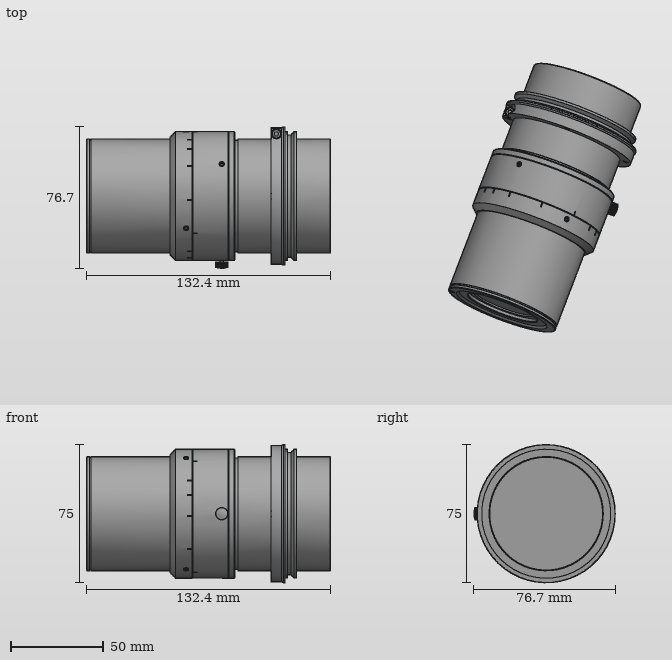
import cadquery as cq
import math

length = 132.4

barrel_radius = 31.0
barrel_chamfer = 0.4
front_groove_start = 1.7
front_groove_end = 2.5
front_groove_depth = 0.4

ring_start = 45.3
ring_cone_end = 48.3
ring_cone_radius = 31.9
ring_radius = 70.0 / 2
ring_end = 80.5
ring_chamfer = 0.5
ring_split = 57.5
ring_joint = 77.0
joint_width = 0.4
joint_depth = 0.3
neck_end = 82.1
neck_radius = 30.3

flange_start = 100.1
flange_end = 105.8
flange_radius = 37.1
rim_start = 106.7
rim_end = 107.6
rim_radius = 37.5
step_end = 109.0
mount_radius = 35.0
mount_groove_radius = 33.2
mount_groove_end = 110.8
mount_land_start = 112.5
mount_end = 113.9

recess_radius = 26.2
shelf_radius = 25.0
shelf_depth = 1.2
seat_radius = 40.6 / 2
seat_step_radius = 40.0 / 2
seat_step_depth = 1.7
seat_floor_depth = 3.3
lens_depth = 4.2
lens_radius = 34.0 / 2
lens_bulge = 0.4

axial_screw_diameter = 3.0
face_screw_circle = 28.7
flange_screw_circle = 34.0
radial_screw_diameter = 2.8
face_screw_recess = 0.1
face_socket_depth = 0.4
flange_screw_recess = 2.0
ring_screw_recess = 0.4
socket_diameter = 1.9
socket_depth = 1.3
front_ring_screw_x = 54.0
rear_ring_screw_x = 73.3

knob_base = 35.6
knob_side_end = 38.7
knob_tip = 39.2
knob_radius = 6.8 / 2
knob_tooth_depth = 0.2
knob_teeth = 36
knob_stem_diameter = 2.0
knob_stem_embed = 1.3

clamp_x = (flange_start + flange_end) / 2
clamp_y = 33.8
clamp_floor = 6.0
clamp_bore_radius = 5.4 / 2
clamp_head_diameter = 4.5
clamp_head_height = 2.5
clamp_socket_diameter = 2.5
slit_width = 1.2
clamp_cut_reach = 39.7

scale_repeat = 120
scale_angles = (31.0, 17.0, -2.0, -33.5)
index_angle = 54.7
tick_length = 2.8
tick_width = 0.5
index_length = 2.5
index_width = 0.3
tick_depth = 0.2


def cap_sphere_radius(base_radius, height):
    """Radius of the sphere whose cap has this base radius and height."""
    return (base_radius**2 + height**2) / (2 * height)


def turned_body():
    """Whole barrel as one revolved profile, in (x, radius) points."""
    groove_floor = barrel_radius - front_groove_depth
    joint_floor = ring_radius - joint_depth
    profile = (
        cq.Workplane("XY")
        .moveTo(lens_depth - lens_bulge, 0)
        .radiusArc((lens_depth, lens_radius), cap_sphere_radius(lens_radius, lens_bulge))
        .lineTo(seat_floor_depth, lens_radius)
        .lineTo(seat_floor_depth, seat_step_radius)
        .lineTo(seat_step_depth, seat_step_radius)
        .lineTo(seat_step_depth, seat_radius)
        .lineTo(shelf_depth, seat_radius)
        .lineTo(shelf_depth, shelf_radius)
        .lineTo(0, recess_radius)
        .lineTo(0, barrel_radius - barrel_chamfer)
        .lineTo(barrel_chamfer, barrel_radius)
        .lineTo(front_groove_start, barrel_radius)
        .lineTo(front_groove_start, groove_floor)
        .lineTo(front_groove_end, groove_floor)
        .lineTo(front_groove_end, barrel_radius)
        .lineTo(ring_start, barrel_radius)
        .lineTo(ring_start, ring_cone_radius)
        .lineTo(ring_cone_end, ring_radius)
    )
    for joint in (ring_split, ring_joint):
        profile = (
            profile.lineTo(joint - joint_width / 2, ring_radius)
            .lineTo(joint - joint_width / 2, joint_floor)
            .lineTo(joint + joint_width / 2, joint_floor)
            .lineTo(joint + joint_width / 2, ring_radius)
        )
    profile = (
        profile.lineTo(ring_end - ring_chamfer, ring_radius)
        .lineTo(ring_end, ring_radius - ring_chamfer)
        .lineTo(ring_end, neck_radius)
        .lineTo(neck_end, neck_radius)
        .lineTo(neck_end, barrel_radius)
        .lineTo(flange_start, barrel_radius)
        .lineTo(flange_start, flange_radius)
        .lineTo(flange_end, flange_radius)
        .lineTo(rim_start, rim_radius)
        .lineTo(rim_end, rim_radius)
        .lineTo(rim_end, mount_radius)
        .lineTo(step_end, mount_radius)
        .lineTo(step_end, mount_groove_radius)
        .lineTo(mount_groove_end, mount_groove_radius)
        .lineTo(mount_land_start, mount_radius)
        .lineTo(mount_end, mount_radius)
        .lineTo(mount_end, barrel_radius)
        .lineTo(length - barrel_chamfer, barrel_radius)
        .lineTo(length, barrel_radius - barrel_chamfer)
        .lineTo(length, 0)
        .close()
    )
    return profile.revolve(360, (0, 0, 0), (1, 0, 0))


def around_axis(shape, angle):
    """Turn a shape built on the -Y side about X, towards +Z."""
    return shape.rotate((0, 0, 0), (1, 0, 0), -angle)


def screw_recess_cutter(plane, diameter, recess_depth, hexagon_depth):
    """Recess over a flush screw with a hexagon socket in the middle."""
    recess = cq.Workplane(plane).circle(diameter / 2).extrude(recess_depth)
    socket = cq.Workplane(plane).polygon(6, socket_diameter).extrude(recess_depth + hexagon_depth)
    return recess.union(socket)


def axial_screws(face_x, circle_radius, recess_depth, hexagon_depth, angles):
    plane = cq.Plane(origin=(face_x, -circle_radius, 0), xDir=(0, 1, 0), normal=(1, 0, 0))
    cutter = screw_recess_cutter(plane, axial_screw_diameter, recess_depth, hexagon_depth)
    return [around_axis(cutter, angle) for angle in angles]


def radial_screws(x, angles):
    plane = cq.Plane(origin=(x, -ring_radius, 0), xDir=(1, 0, 0), normal=(0, 1, 0))
    cutter = screw_recess_cutter(plane, radial_screw_diameter, ring_screw_recess, socket_depth)
    return [around_axis(cutter, angle) for angle in angles]


def scale_mark(start_x, mark_length, mark_width, angle):
    mark = cq.Workplane("XY").box(mark_length, 2 * tick_depth, mark_width, centered=(False, True, True))
    return around_axis(mark.translate((start_x, -ring_radius, 0)), angle)


def scale_marks():
    marks = []
    for turn in range(0, 360, scale_repeat):
        for angle in scale_angles:
            marks.append(scale_mark(ring_split - tick_length, tick_length, tick_width, angle + turn))
        marks.append(scale_mark(ring_split, index_length, index_width, index_angle + turn))
    return marks


def thumb_screw():
    """Knurled knob with a domed end on a thin stem, pointing to -Y."""
    plane = cq.Plane(origin=(rear_ring_screw_x, 0, 0), xDir=(1, 0, 0), normal=(0, -1, 0))
    stem_start = ring_radius - knob_stem_embed
    stem = (
        cq.Workplane(plane)
        .workplane(offset=stem_start)
        .circle(knob_stem_diameter / 2)
        .extrude(knob_base - stem_start)
    )
    outline = []
    for step in range(2 * knob_teeth):
        radius = knob_radius - knob_tooth_depth * (step % 2)
        angle = math.pi * step / knob_teeth
        outline.append((radius * math.cos(angle), radius * math.sin(angle)))
    knurl = (
        cq.Workplane(plane)
        .workplane(offset=knob_base)
        .polyline(outline)
        .close()
        .extrude(knob_side_end - knob_base)
    )
    dome_height = knob_tip - knob_side_end
    dome_base = knob_radius - knob_tooth_depth
    sphere_radius = cap_sphere_radius(dome_base, dome_height)
    dome = (
        cq.Workplane(plane)
        .workplane(offset=knob_tip - sphere_radius)
        .sphere(sphere_radius)
        .intersect(
            cq.Workplane(plane).workplane(offset=knob_base).circle(dome_base).extrude(knob_tip - knob_base)
        )
    )
    return stem.union(knurl).union(dome)


def clamp_pocket():
    """Flat-floored notch with a round counterbore that sinks the clamp screw head."""
    bore = cq.Workplane("XY", origin=(clamp_x, clamp_y, clamp_floor - clamp_head_height))
    bore = bore.circle(clamp_bore_radius).extrude(clamp_cut_reach)
    opening = cq.Workplane("XY", origin=(clamp_x, clamp_y, clamp_floor)).box(
        flange_end - flange_start, clamp_cut_reach, clamp_cut_reach, centered=(True, False, False)
    )
    return bore.union(opening)


def clamp_slit():
    return cq.Workplane("XY", origin=(clamp_x, barrel_radius, 0)).box(
        flange_end - flange_start, clamp_cut_reach, slit_width, centered=(True, False, True)
    )


def clamp_screw():
    """Socket head standing on the counterbore floor, flush with the notch floor."""
    return (
        cq.Workplane("XY", origin=(clamp_x, clamp_y, clamp_floor - clamp_head_height))
        .circle(clamp_head_diameter / 2)
        .extrude(clamp_head_height)
        .faces(">Z")
        .workplane()
        .polygon(6, clamp_socket_diameter)
        .cutBlind(-socket_depth)
    )


cutters = axial_screws(0, face_screw_circle, face_screw_recess, face_socket_depth, (60, 180, 300))
cutters += axial_screws(
    flange_start, flange_screw_circle, flange_screw_recess, socket_depth, (0, 90, 180, 270)
)
cutters += radial_screws(front_ring_screw_x, (60, 180, 300))
cutters += radial_screws(rear_ring_screw_x, (120, 240))
cutters += scale_marks()
cutters += [clamp_pocket(), clamp_slit()]

result = turned_body()
for cutter in cutters:
    result = result.cut(cutter)
result = result.union(clamp_screw()).union(thumb_screw())